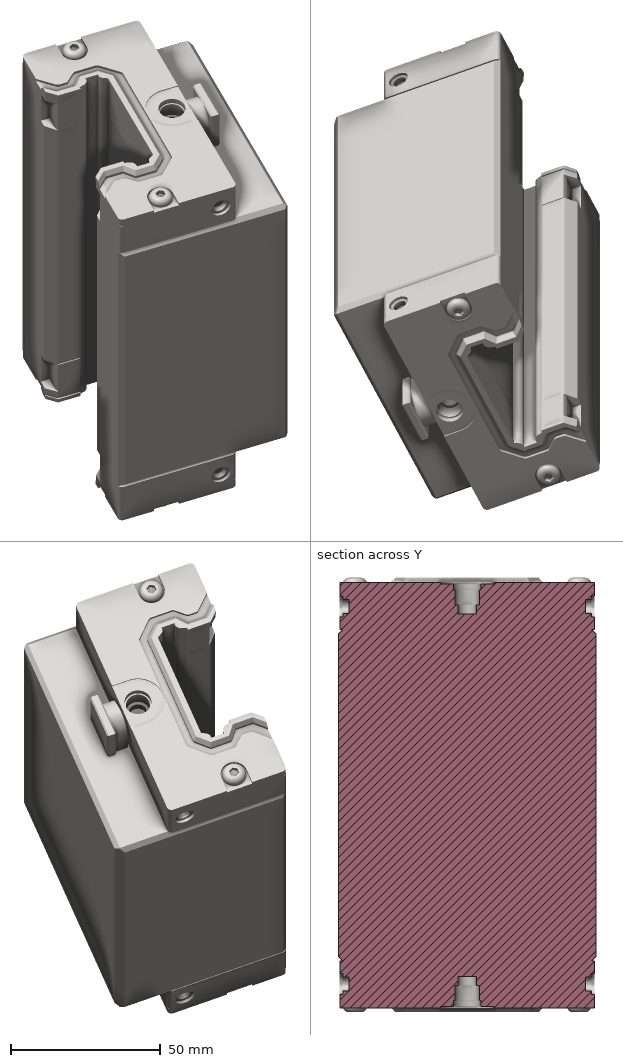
import cadquery as cq
import math


body_width = 86.0
height = 61.1
body_length = 110.6
body_half_length = body_length / 2
end_chamfer = 1.5
underside_chamfer = 1.6
datum_side_chamfer = 2.7
plain_side_chamfer = 1.5

channel_top = 22.1
channel_top_half = 19.5
groove_half = 22.5
groove_upper = 19.35
groove_lower = 14.7
lower_shoulder_start = (19.7, 12.6)
lower_shoulder_middle = (20.5, 14.2)
upper_shoulder_middle = (20.8, 19.75)
upper_shoulder_end = (20.2, 20.6)
lip_top = 11.4
lip_bottom = 3.3
body_lip_half = 19.3
body_mouth_half = 22.9
cap_channel_top = 22.0
cap_lip_half = 19.0
cap_mouth_half = 22.1
seal_channel_top = 21.8
seal_lip_half = 18.5
seal_mouth_half = 21.7

overall_length = 145.0
cap_width = 85.0
cap_height = 42.5
cap_end = 71.0
plate_start = 67.9
plate_fillet = 1.6
cap_underside_fillet = 1.4
cap_top_chamfer = 1.1

seal_end = overall_length / 2
seal_gap_depth = 1.0
seal_gap_fillet = 1.5
seal_gap_outline = [(30.0, 0), (24.5, 5.6), (24.5, 9.1), (28.1, 12.9), (28.1, 21.4), (21.7, 27.8)]
seal_base_outline = [(25.4, 0), (21.5, 3.9), (21.5, 10.1), (25.2, 13.1), (25.2, 20.5), (20.7, 25.0)]
seal_top_outline = [(23.8, 0), (20.4, 3.5), (20.4, 10.7), (24.0, 13.5), (24.0, 20.0), (20.2, 23.8)]

pocket_outer = 25.6
pocket_depth = 3.1
pocket_bevel_start = 20.5
pocket_bevel_rise = 0.4

screw_x = 37.4
screw_y = 17.0
screw_head_diameter = 8.0
screw_head_top_diameter = 4.4
screw_head_end = 72.5
screw_slot_width = 9.0
screw_slot_depth = 1.0
socket_size = 3.4
socket_depth = 1.5

port_y = 36.7
pad_half_width = 8.8
pad_depth = 0.4
end_port_steps = [(9.0, 2.0), (8.0, 7.0), (6.0, 10.0)]
side_port_z = 63.0
side_port_diameter = 6.8
side_port_counterbore = 1.0
side_port_bore = 4.5
side_port_depth = 3.0

plug_diameter = 14.0
plug_foot_diameter = 10.0
plug_foot_height = 0.6
plug_center_z = 62.4
flange_width = 16.0
flange_bottom = 47.6
flange_top = 50.7
flange_end = 69.9
flange_chamfer = 0.5


def prism(outline, z_start, z_end):
    """Extrude the outline given for +X, mirrored to -X, between two Z levels."""
    points = outline + [(-x, y) for x, y in reversed(outline)]
    return cq.Workplane("XY").workplane(offset=z_start).polyline(points).close().extrude(z_end - z_start)


def channel(lip_half, mouth_half, top, z_start, z_end):
    """Solid filling the rail channel, with a convex rounded shoulder at each groove edge."""
    sketch = (
        cq.Workplane("XY")
        .workplane(offset=z_start)
        .lineTo(mouth_half, 0)
        .lineTo(lip_half, lip_bottom)
        .lineTo(lip_half, lip_top)
    )
    if lip_half < body_lip_half:
        sketch = sketch.lineTo(body_lip_half, lip_top)
    half = (
        sketch.lineTo(*lower_shoulder_start)
        .threePointArc(lower_shoulder_middle, (groove_half, groove_lower))
        .lineTo(groove_half, groove_upper)
        .threePointArc(upper_shoulder_middle, upper_shoulder_end)
        .lineTo(channel_top_half, top)
        .lineTo(0, top)
        .close()
        .extrude(z_end - z_start)
    )
    return half.union(half.mirror("YZ"))


def make_body():
    block = cq.Workplane("XY").box(body_width, height, body_length).translate((0, height / 2, 0))
    block = block.faces("<Z or >Z").edges("<X or >X or >Y").chamfer(end_chamfer)
    for x_sign, y, size in (
        (-1, 0, underside_chamfer),
        (1, 0, underside_chamfer),
        (-1, height, datum_side_chamfer),
        (1, height, plain_side_chamfer),
    ):
        corner = x_sign * body_width / 2
        y_inward = size if y == 0 else -size
        wedge = (
            cq.Workplane("XY")
            .workplane(offset=-body_half_length)
            .polyline([(corner, y), (corner - x_sign * size, y), (corner, y + y_inward)])
            .close()
            .extrude(body_length)
        )
        block = block.cut(wedge)
    rail_channel = channel(
        body_lip_half, body_mouth_half, channel_top, -body_half_length, body_half_length
    )
    return block.cut(rail_channel)


def cap_block(z_start, z_end):
    length = z_end - z_start
    return cq.Workplane("XY").box(cap_width, cap_height, length).translate(
        (0, cap_height / 2, z_start + length / 2)
    )


def make_cap_shell():
    """Cap base and its plate, with the seal gap sunk into the plate face."""
    base = cap_block(body_half_length, plate_start)
    base = base.edges("|Z and <Y").fillet(cap_underside_fillet).edges("|Z and >Y").chamfer(cap_top_chamfer)
    plate = cap_block(plate_start, cap_end).edges("|Z").fillet(plate_fillet)
    gap = prism(seal_gap_outline, cap_end - seal_gap_depth, cap_end)
    gap = gap.edges("|Z and (not <Y)").fillet(seal_gap_fillet)
    return base.union(plate).cut(gap)


def make_seal():
    """Seal rim standing in the gap, with a sloped outer flank above the plate face."""
    foot = prism(seal_base_outline, cap_end - seal_gap_depth, cap_end)
    base_points = seal_base_outline + [(-x, y) for x, y in reversed(seal_base_outline)]
    top_points = seal_top_outline + [(-x, y) for x, y in reversed(seal_top_outline)]
    rim = (
        cq.Workplane("XY")
        .workplane(offset=cap_end)
        .polyline(base_points)
        .close()
        .workplane(offset=seal_end - cap_end)
        .polyline(top_points)
        .close()
        .loft(ruled=True)
    )
    return foot.union(rim)


def relief_pocket(side):
    points = [
        (pocket_outer, 0),
        (pocket_outer, pocket_depth),
        (pocket_bevel_start, pocket_depth),
        (cap_lip_half, pocket_depth + pocket_bevel_rise),
        (cap_lip_half, 0),
    ]
    sketch = cq.Workplane("XY").workplane(offset=body_half_length)
    return sketch.polyline([(side * x, y) for x, y in points]).close().extrude(plate_start - body_half_length)


def screw_slot(side):
    """Round-ended recess around a screw head, open to the side of the cap."""
    floor = cap_end - screw_slot_depth
    reach = cap_width / 2 - screw_x
    face = cq.Workplane("XY").workplane(offset=floor)
    round_end = face.center(side * screw_x, screw_y).circle(screw_slot_width / 2).extrude(screw_slot_depth)
    straight = face.center(side * (screw_x + reach / 2), screw_y)
    return round_end.union(straight.rect(reach, screw_slot_width).extrude(screw_slot_depth))


def screw_head(side):
    floor = cap_end - screw_slot_depth
    rim_height = screw_slot_depth / 2
    head_height = screw_head_end - floor
    radius = screw_head_diameter / 2
    top_radius = screw_head_top_diameter / 2
    bulge = math.sin(math.pi / 4)
    shoulder = (
        top_radius + (radius - top_radius) * bulge,
        rim_height + (head_height - rim_height) * bulge,
    )
    head = (
        cq.Workplane("XZ")
        .lineTo(radius, 0)
        .lineTo(radius, rim_height)
        .threePointArc(shoulder, (top_radius, head_height))
        .lineTo(0, head_height)
        .close()
        .revolve(360, (0, 0, 0), (0, 1, 0))
    )
    socket = cq.Workplane("XY").workplane(offset=head_height - socket_depth)
    head = head.cut(socket.polygon(6, socket_size).extrude(socket_depth))
    return head.translate((side * screw_x, screw_y, floor))


def end_port():
    """Sunken U-shaped pad and the stepped lubrication hole in the cap face."""
    pad_floor = cap_end - pad_depth
    pad = (
        cq.Workplane("XY")
        .workplane(offset=pad_floor)
        .moveTo(-pad_half_width, cap_height)
        .lineTo(-pad_half_width, port_y)
        .threePointArc((0, port_y - pad_half_width), (pad_half_width, port_y))
        .lineTo(pad_half_width, cap_height)
        .close()
        .extrude(pad_depth)
    )
    face = cq.Workplane("XY").workplane(offset=pad_floor).center(0, port_y)
    port = pad
    for diameter, depth in end_port_steps:
        port = port.union(face.circle(diameter / 2).extrude(-depth))
    return port


def side_port(side):
    face = cq.Workplane("YZ").workplane(offset=side * cap_width / 2).center(port_y, side_port_z)
    counterbore = face.circle(side_port_diameter / 2).extrude(-side * side_port_counterbore)
    bore = face.circle(side_port_bore / 2).extrude(-side * side_port_depth)
    return counterbore.union(bore)


def plug_stage(diameter, y_start, y_end):
    """Slab between two heights, round at its outer end and straight back to the body."""
    back_depth = plug_center_z - body_half_length
    thickness = y_start - y_end
    plane = cq.Workplane("XZ", origin=(0, y_start, 0))
    round_end = plane.center(0, plug_center_z).circle(diameter / 2).extrude(thickness)
    straight = plane.center(0, plug_center_z - back_depth / 2).rect(diameter, back_depth)
    return round_end.union(straight.extrude(thickness))


def make_plug():
    """Stepped neck with a rectangular flange, both running back to the body."""
    neck_start = cap_height + plug_foot_height
    foot = plug_stage(plug_foot_diameter, cap_height, neck_start)
    neck = plug_stage(plug_diameter, neck_start, flange_bottom)
    flange_length = flange_end - body_half_length
    flange = (
        cq.Workplane("XY")
        .box(flange_width, flange_top - flange_bottom, flange_length)
        .translate((0, (flange_top + flange_bottom) / 2, body_half_length + flange_length / 2))
        .faces("<Y or >Y")
        .edges("<X or >X or >Z")
        .chamfer(flange_chamfer)
    )
    return foot.union(neck).union(flange)


def make_cap():
    cap = make_cap_shell().union(make_seal())
    cap = cap.cut(channel(cap_lip_half, cap_mouth_half, cap_channel_top, body_half_length, cap_end))
    cap = cap.cut(channel(seal_lip_half, seal_mouth_half, seal_channel_top, cap_end, seal_end))
    cap = cap.cut(end_port())
    for side in (-1, 1):
        cap = cap.cut(relief_pocket(side)).cut(screw_slot(side)).cut(side_port(side))
        cap = cap.union(screw_head(side))
    return cap.union(make_plug())


end_cap = make_cap()
result = make_body().union(end_cap).union(end_cap.mirror("XY"))